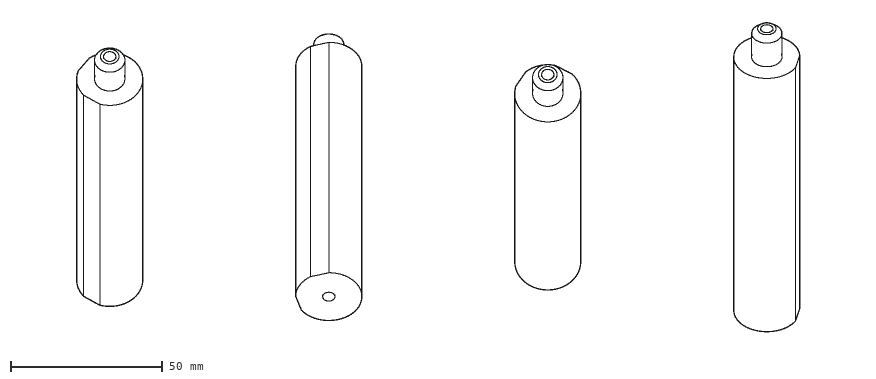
import cadquery as cq

total_length = 122.5
pin_length = 12.2
body_length = total_length - pin_length

body_diameter = 21.9
width_across_flat = 21.4
flat_distance = width_across_flat - body_diameter / 2

pin_diameter = 10.0
pin_chamfer = 2.0
bore_diameter = 4.0


def make_body():
    """Cylinder flattened on its -X and -Y sides."""
    cylinder = cq.Workplane("XY").circle(body_diameter / 2).extrude(body_length)
    keep = (
        cq.Workplane("XY")
        .box(body_diameter, body_diameter, body_length, centered=False)
        .translate((-flat_distance, -flat_distance, 0))
    )
    return cylinder.intersect(keep)


def make_pin():
    """Pin with a chamfered tip, standing on the body."""
    return (
        cq.Workplane("XY", origin=(0, 0, body_length))
        .circle(pin_diameter / 2)
        .extrude(pin_length)
        .faces(">Z")
        .chamfer(pin_chamfer)
    )


def make_bore():
    """Plug that cuts the bore along the full length."""
    return cq.Workplane("XY").circle(bore_diameter / 2).extrude(total_length)


result = make_body().union(make_pin()).cut(make_bore())